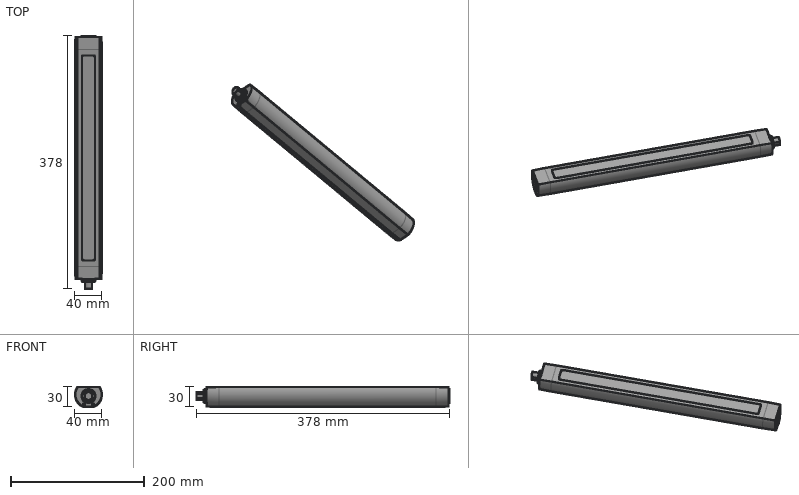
import cadquery as cq
import math

total_length = 378.0
rear_disc_thickness = 1.5
connector_length = 15.0
cap_length = 18.5

housing_radius = 20.0
top_flat_z = 11.5
bottom_flat_z = -18.5
cap_inset = 0.5

window_width = 19.5
window_margin = 9.0
window_corner_radius = 2.5
groove_size = 0.2

connector_z = -2.3
collar_radius = 10.2
collar_base_length = 2.3
collar_length = 4.5
collar_tip_radius = 9.0
shaft_radius = 6.0
shaft_flat_width = 10.5
screw_x = 6.8
screw_z = -15.0
screw_hole_radius = 1.5
screw_hole_depth = 3.8

front_y = -total_length / 2 + connector_length
rear_y = total_length / 2 - rear_disc_thickness
front_seam_y = front_y + cap_length
rear_seam_y = rear_y - cap_length


def end_plane(y, z=0.0):
    """Plane at the given Y, facing the connector end (-Y)."""
    return cq.Workplane("XZ", origin=(0, y, z))


def profile(sketch_plane, inset=0.0):
    """Draw the flattened round section, optionally shrunk by an inset."""
    radius = housing_radius - inset
    top = top_flat_z - inset
    bottom = bottom_flat_z + inset
    top_x = math.sqrt(radius**2 - top**2)
    bottom_x = math.sqrt(radius**2 - bottom**2)
    return (
        sketch_plane.moveTo(-top_x, top)
        .lineTo(top_x, top)
        .threePointArc((radius, 0), (bottom_x, bottom))
        .lineTo(-bottom_x, bottom)
        .threePointArc((-radius, 0), (-top_x, top))
        .close()
    )


def make_cap(seam_y, outward):
    """End cap narrowing slightly from the seam to its end face."""
    step = -outward * cap_length
    section = profile(end_plane(seam_y)).workplane(offset=step)
    return profile(section, cap_inset).loft(ruled=True)


def make_window_groove():
    """Thin rounded rectangular groove around the window."""
    length = rear_seam_y - front_seam_y - 2 * window_margin
    center_y = (front_seam_y + rear_seam_y) / 2
    base = cq.Workplane("XY", origin=(0, center_y, top_flat_z - groove_size))
    outer = base.rect(window_width, length).extrude(2 * groove_size)
    outer = outer.edges("|Z").fillet(window_corner_radius)
    inner_width = window_width - 2 * groove_size
    inner = base.rect(inner_width, length - 2 * groove_size).extrude(2 * groove_size)
    inner = inner.edges("|Z").fillet(window_corner_radius - groove_size)
    return outer.cut(inner)


def connector_disc(radius, length):
    """Cylinder on the connector axis, standing on the front end face."""
    return end_plane(front_y, connector_z).circle(radius).extrude(length)


def make_connector():
    """Tapered collar carrying a round shaft with two side flats."""
    base = connector_disc(collar_radius, collar_base_length)
    tip = (
        end_plane(front_y - collar_base_length, connector_z)
        .circle(collar_radius)
        .workplane(offset=collar_length - collar_base_length)
        .circle(collar_tip_radius)
        .loft(ruled=True)
    )
    shaft = connector_disc(shaft_radius, connector_length)
    flats = (
        end_plane(front_y, connector_z)
        .rect(shaft_flat_width, 2 * shaft_radius)
        .extrude(connector_length)
    )
    return base.union(tip).union(shaft.intersect(flats))


body = profile(end_plane(rear_seam_y)).extrude(rear_seam_y - front_seam_y)
front_cap = make_cap(front_seam_y, -1)
rear_cap = make_cap(rear_seam_y, 1)
rear_disc = end_plane(total_length / 2, connector_z).circle(collar_radius).extrude(rear_disc_thickness)
screw_holes = (
    end_plane(front_y, screw_z)
    .pushPoints([(-screw_x, 0), (screw_x, 0)])
    .circle(screw_hole_radius)
    .extrude(-screw_hole_depth)
)

result = body.union(front_cap).union(rear_cap).union(rear_disc).union(make_connector())
result = result.cut(screw_holes).cut(make_window_groove())